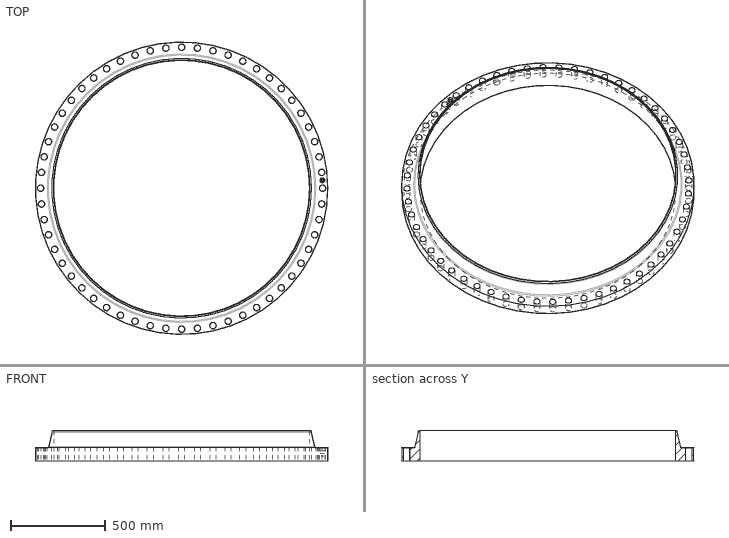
import cadquery as cq
import math

flange_diameter = 1549.0
flange_thickness = 71.0

overall_height = 163.0
bore_radius = 677.0
neck_base_radius = 706.0
neck_tip_radius = 688.0
tip_rim_height = 8.0
bevel_height = 5.0
tip_land_width = 3.0
neck_fillet_radius = 6.0

bolt_count = 56
bolt_circle_radius = 747.0
bolt_hole_diameter = 33.0
bolt_pitch_angle = 360.0 / bolt_count

port_diameters = (26.0, 19.0, 10.0)
port_step_depth = 15.0


def ring_body():
    """Flange and neck as one revolved half section, with a fillet at the neck root."""
    flange_radius = flange_diameter / 2
    bevel_start_height = overall_height - bevel_height
    section = (
        cq.Workplane("XZ")
        .moveTo(bore_radius, 0)
        .lineTo(flange_radius, 0)
        .lineTo(flange_radius, flange_thickness)
        .lineTo(neck_base_radius, flange_thickness)
        .lineTo(neck_tip_radius, bevel_start_height - tip_rim_height)
        .lineTo(neck_tip_radius, bevel_start_height)
        .lineTo(bore_radius + tip_land_width, overall_height)
        .lineTo(bore_radius, overall_height)
        .close()
    )
    body = section.revolve(360, (0, 0, 0), (0, 1, 0))
    neck_root = cq.selectors.RadiusNthSelector(3)
    return body.edges("%CIRCLE").edges(neck_root).fillet(neck_fillet_radius)


def bolt_holes():
    """Through holes evenly spaced on the bolt circle, the first one on +X."""
    return (
        cq.Workplane("XY")
        .polarArray(bolt_circle_radius, 0, 360, bolt_count)
        .circle(bolt_hole_diameter / 2)
        .extrude(flange_thickness)
    )


def stepped_port():
    """Blind hole narrowing downward in equal steps, half a pitch from the +X bolt hole."""
    port_angle = math.radians(bolt_pitch_angle / 2)
    port_x = bolt_circle_radius * math.cos(port_angle)
    port_y = bolt_circle_radius * math.sin(port_angle)
    rim = cq.Workplane("XY", origin=(port_x, port_y, flange_thickness))
    port = cq.Workplane("XY")
    for step, diameter in enumerate(port_diameters, start=1):
        port = port.add(rim.circle(diameter / 2).extrude(-step * port_step_depth))
    return port.combine()


result = ring_body().cut(bolt_holes()).cut(stepped_port())